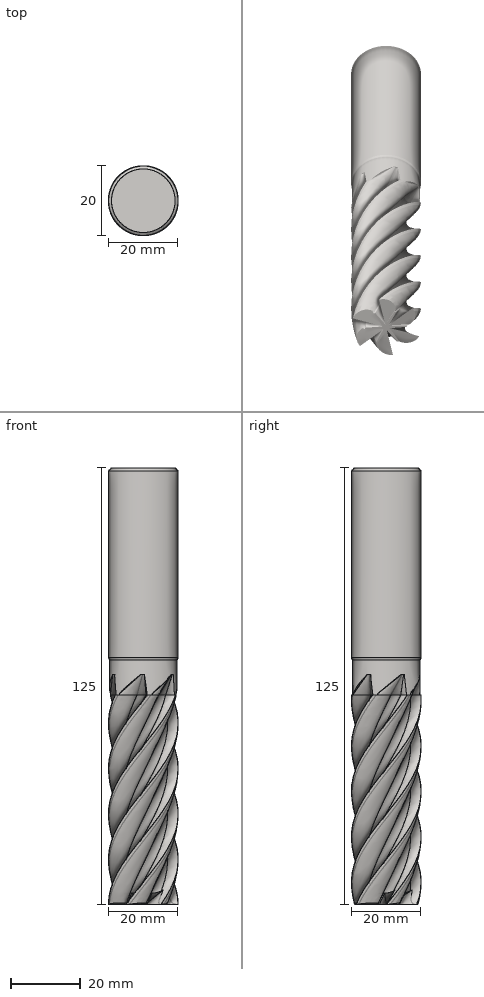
import cadquery as cq
import math

TOOL_RADIUS = 10.0
TOTAL_LENGTH = 125.0
CUTTING_LENGTH = 60.0

SHANK_START = 70.7
SHANK_CHAMFER = 0.9
NECK_RADIUS = 9.7
NECK_END = 70.0

TOOTH_COUNT = 6
TOOTH_PITCH = 360.0 / TOOTH_COUNT
HELIX_LEAD = 78.0
TWIST = 360.0 * CUTTING_LENGTH / HELIX_LEAD

LAND_END = (9.85, 6.0)
BACK_MIDDLE = (8.8, 20.0)
HEEL = (6.05, 36.0)
FLOOR_MIDDLE = (5.9, 48.0)
RAKE_ROOT = (7.0, 59.3)

RUNOUT_LENGTH = 5.8
RUNOUT_TIP_ANGLE = 8.0
RUNOUT_TIP_LAG = 3.5
RUNOUT_TIP_DEPTH = 0.3
CUT_MARGIN = 2.5

WEDGE_APEX_RADIUS = 1.0
GASH_DEPTH = 6.2
GASH_LEAN = 3.6
GASH_TOP_WIDTH = 4.5
GASH_LEAD = 4.0

END_RELIEF_WIDTH = 8.0
END_RELIEF_RISE = 1.1


def polar(radius, degrees):
    """Point in the XY plane at a radius and an angle."""
    angle = math.radians(degrees)
    return (radius * math.cos(angle), radius * math.sin(angle))


def tooth_point(place, edge_angle):
    """Point of the tooth section for a tooth whose cutting edge is at edge_angle."""
    radius, angle = place
    return polar(radius, edge_angle + angle)


def around_axis(solid):
    """Copies of a solid, one for each tooth."""
    return [
        solid.rotate((0, 0, 0), (0, 0, 1), tooth * TOOTH_PITCH)
        for tooth in range(TOOTH_COUNT)
    ]


def make_fluted_blank():
    section = cq.Workplane("XY").moveTo(TOOL_RADIUS, 0)
    for tooth in range(TOOTH_COUNT):
        edge = tooth * TOOTH_PITCH
        section = (
            section.lineTo(*tooth_point(LAND_END, edge))
            .threePointArc(tooth_point(BACK_MIDDLE, edge), tooth_point(HEEL, edge))
            .threePointArc(tooth_point(FLOOR_MIDDLE, edge), tooth_point(RAKE_ROOT, edge))
            .lineTo(*polar(TOOL_RADIUS, edge + TOOTH_PITCH))
        )
    return section.close().twistExtrude(CUTTING_LENGTH, TWIST)


def radial_wedge(profile):
    """Pyramid from a point near the axis out to a YZ profile beyond the tool radius."""
    outer = TOOL_RADIUS + CUT_MARGIN
    scale = (outer - WEDGE_APEX_RADIUS) / (TOOL_RADIUS - WEDGE_APEX_RADIUS)
    apex = cq.Vector(WEDGE_APEX_RADIUS, 0, 0)
    base = [cq.Vector(outer, y * scale, z * scale) for y, z in profile]
    outlines = [base]
    for index, corner in enumerate(base):
        outlines.append([apex, base[index - 1], corner])
    faces = [cq.Face.makeFromWires(cq.Wire.makePolygon(outline, close=True)) for outline in outlines]
    return cq.Solid.makeSolid(cq.Shell.makeShell(faces))


def make_cutter():
    cutter = make_fluted_blank()
    gash = radial_wedge(
        [(0, 0), (GASH_LEAN, GASH_DEPTH), (GASH_LEAN - GASH_TOP_WIDTH, GASH_DEPTH), (-GASH_LEAD, 0)]
    )
    end_relief = radial_wedge([(0, 0), (END_RELIEF_WIDTH, 0), (END_RELIEF_WIDTH, END_RELIEF_RISE)])
    cuts = around_axis(gash) + around_axis(end_relief)
    return cutter.val().cut(*cuts)


def make_runout():
    """Flute ahead of the last cutting edge, narrowing to a shallow groove up the neck."""
    edge = TWIST - TOOTH_PITCH
    outer = NECK_RADIUS + CUT_MARGIN
    tip_end = TWIST - RUNOUT_TIP_LAG
    tip_start = tip_end - RUNOUT_TIP_ANGLE
    half_depth = RUNOUT_TIP_DEPTH / 2
    tip_floor = NECK_RADIUS - RUNOUT_TIP_DEPTH
    tip_radii = [NECK_RADIUS, NECK_RADIUS - half_depth, tip_floor, tip_floor - half_depth, tip_floor]
    tip_step = RUNOUT_TIP_ANGLE / len(tip_radii)
    tip = [polar(radius, tip_start + index * tip_step) for index, radius in enumerate(tip_radii)]

    return (
        cq.Workplane("XY", origin=(0, 0, CUTTING_LENGTH))
        .moveTo(*polar(outer, edge + LAND_END[1]))
        .lineTo(*tooth_point(LAND_END, edge))
        .threePointArc(tooth_point(BACK_MIDDLE, edge), tooth_point(HEEL, edge))
        .threePointArc(tooth_point(FLOOR_MIDDLE, edge), tooth_point(RAKE_ROOT, edge))
        .lineTo(*polar(outer, TWIST))
        .close()
        .workplane(offset=RUNOUT_LENGTH)
        .moveTo(*polar(outer, tip_start))
        .lineTo(*tip[0])
        .threePointArc(tip[1], tip[2])
        .threePointArc(tip[3], tip[4])
        .lineTo(*polar(outer, tip_end))
        .close()
        .loft(ruled=True)
    )


def make_shank():
    half_section = [
        (0, CUTTING_LENGTH),
        (NECK_RADIUS, CUTTING_LENGTH),
        (NECK_RADIUS, NECK_END),
        (TOOL_RADIUS, SHANK_START),
        (TOOL_RADIUS, TOTAL_LENGTH - SHANK_CHAMFER),
        (TOOL_RADIUS - SHANK_CHAMFER, TOTAL_LENGTH),
        (0, TOTAL_LENGTH),
    ]
    shank = cq.Workplane("XZ").polyline(half_section).close().revolve(360, (0, 0, 0), (0, 1, 0))
    return shank.val().cut(*around_axis(make_runout().val()))


cutter = make_cutter()
shank = make_shank()
result = cq.Compound.makeCompound([*cutter.Solids(), *shank.Solids()])